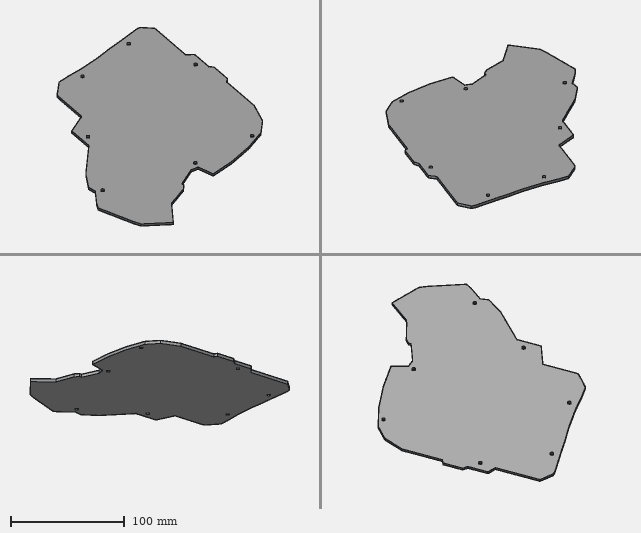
import cadquery as cq

LENGTH_X = 189.68
LENGTH_Y = 184.52
THICKNESS = 3.0
HOLE_DIAMETER = 3.0

SHELF_Y = 59.5
STEP_Y = 41.77
SHOULDER_Y = 175.31
UPPER_Y = 181.47
LEFT_FLAT_X = 2.4
RIGHT_X = 170.6

LOWER_EDGE = [
    (10.96, 59.71),
    (13.80, SHELF_Y),
    (43.83, SHELF_Y),
    (49.31, 46.02),
    (50.88, STEP_Y),
    (73.48, STEP_Y),
    (93.13, 21.37),
    (96.01, 18.42),
    (109.70, 9.59),
    (117.10, 10.96),
    (128.26, 2.74),
    (133.19, 0),
    (165.38, 12.60),
    (172.09, 15.89),
]

RIGHT_EDGE = [
    (LENGTH_X, 38.42),
    (171.88, 52.04),
    (166.41, 70.53),
    (163.19, 74.10),
    (160.72, 74.16),
    (154.15, 90.53),
    (155.86, 97.24),
    (RIGHT_X, 101.83),
    (RIGHT_X, 124.09),
    (167.78, 146.00),
    (162.43, 164.97),
    (152.92, SHOULDER_Y),
]

UPPER_EDGE = [
    (135.11, UPPER_Y),
    (97.93, UPPER_Y),
    (96.28, LENGTH_Y),
    (78.14, LENGTH_Y),
    (74.37, UPPER_Y),
    (55.67, UPPER_Y),
    (51.02, SHOULDER_Y),
    (9.79, SHOULDER_Y),
]

LEFT_EDGE = [
    (0.68, 166.34),
    (0, 163.12),
    (0.78, 146.68),
    (1.09, 140.52),
    (1.36, 129.56),
    (1.99, 121.35),
    (LEFT_FLAT_X, 115.18),
    (LEFT_FLAT_X, 96.69),
    (1.99, 90.53),
    (1.30, 82.31),
    (1.03, 70.90),
]

HOLE_CENTERS = [
    (65.1, 174.4),
    (160.0, 156.8),
    (8.1, 146.3),
    (150.6, 98.7),
    (9.6, 90.8),
    (65.3, 48.1),
    (120.3, 16.6),
]


def make_plate():
    outline = LOWER_EDGE + RIGHT_EDGE + UPPER_EDGE + LEFT_EDGE
    return cq.Workplane("XY").polyline(outline).close().extrude(THICKNESS)


def drill_mounting_holes(plate):
    top = plate.faces(">Z").workplane(origin=(0, 0, THICKNESS))
    return top.pushPoints(HOLE_CENTERS).hole(HOLE_DIAMETER)


result = drill_mounting_holes(make_plate())